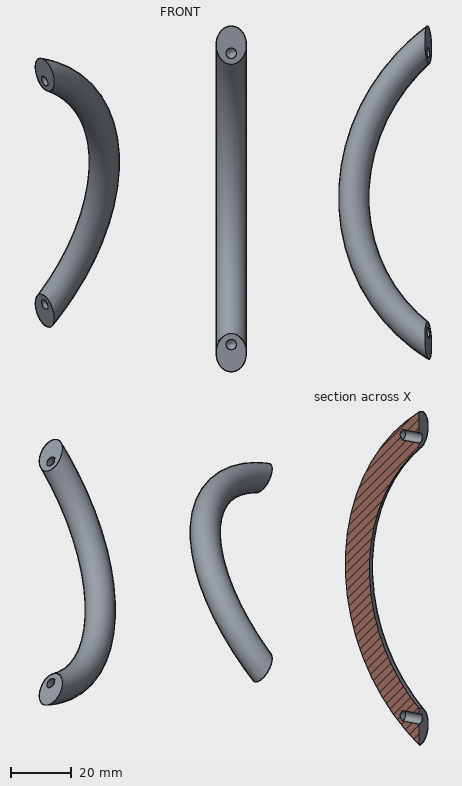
import cadquery as cq

length = 114.0
depth = 30.2
bar_diameter = 10.0
hole_diameter = 3.4
hole_spacing = 96.0
hole_depth = 6.8
hole_tip_length = 1.0

outer_radius = ((length / 2) ** 2 + depth**2) / (2 * depth)
bend_radius = outer_radius - bar_diameter / 2
bend_center_y = depth - outer_radius


def bent_bar():
    """Full ring about the X axis, trimmed to the part in front of the mounting plane Y = 0."""
    ring = cq.Workplane("XY").add(
        cq.Solid.makeTorus(
            bend_radius,
            bar_diameter / 2,
            cq.Vector(0, bend_center_y, 0),
            cq.Vector(1, 0, 0),
        )
    )
    keep = cq.Workplane("XY").box(
        2 * bar_diameter, 2 * depth, 2 * length, centered=(True, False, True)
    )
    return ring.intersect(keep)


def screw_hole(z):
    """Drilled blind hole running in +Y from the mounting plane, with a conical bottom."""
    half_profile = [
        (0, 0),
        (hole_diameter / 2, 0),
        (hole_diameter / 2, hole_depth),
        (0, hole_depth + hole_tip_length),
    ]
    profile = cq.Workplane("XY", origin=(0, 0, z)).polyline(half_profile).close()
    return profile.revolve(360, (0, 0, 0), (0, 1, 0))


result = bent_bar()
for side in (-1, 1):
    result = result.cut(screw_hole(side * hole_spacing / 2))